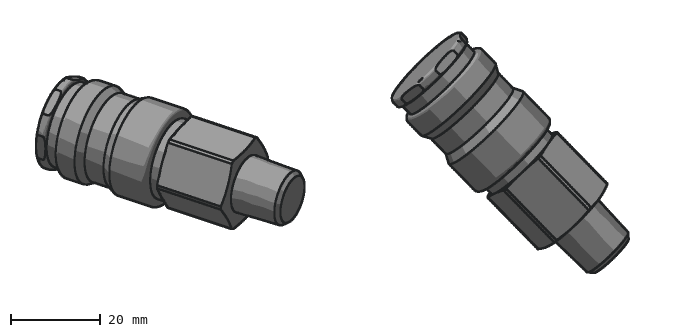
import cadquery as cq
import math


collar_length = 2.5
collar_diameter = 21.95
collar_fillet = 0.7
collar_flats = 21.0
flat_count = 6

front_neck_diameter = 20.0
rear_neck_diameter = 19.0

hex_start_x = 31.0
hex_end_x = 47.9
hex_flats = 19.0
hex_corner_diameter = 21.4
hex_front_bevel = 0.2
hex_rear_bevel = 0.35

spigot_base_diameter = 13.5
spigot_taper = 1 / 16
spigot_chamfer_x = 58.8
spigot_tip_diameter = 11.1
total_length = 59.85

sleeve_start_x = 5.3
sleeve_end_x = 28.7
sleeve_diameter = 23.15
sleeve_fillet = 0.95
groove_diameter = 21.0
groove_outer_start_x = 10.55
groove_floor_start_x = 12.5
groove_floor_end_x = 17.35
groove_outer_end_x = 19.45


def cylinder_along_x(start_x, end_x, diameter):
    return cq.Workplane("YZ", origin=(start_x, 0, 0)).circle(diameter / 2).extrude(end_x - start_x)


def hexagon_along_x(start_x, end_x, across_flats, turn):
    """Hexagonal prism; a turn of 0 points two corners along Y."""
    across_corners = across_flats / math.cos(math.pi / flat_count)
    prism = (
        cq.Workplane("YZ", origin=(start_x, 0, 0))
        .polygon(flat_count, across_corners)
        .extrude(end_x - start_x)
    )
    return prism.rotate((0, 0, 0), (1, 0, 0), turn)


def revolve_around_x(profile):
    """Revolve a closed list of (x, radius) points around the X axis."""
    return cq.Workplane("XY").polyline(profile).close().revolve(360, (0, 0, 0), (1, 0, 0))


def make_collar():
    disc = cylinder_along_x(0, collar_length, collar_diameter).edges().fillet(collar_fillet)
    return disc.intersect(hexagon_along_x(0, collar_length, collar_flats, 180 / flat_count))


def make_wrench_hexagon():
    """Hexagon whose corners are turned round and bevelled at both ends."""
    face_radius = hex_flats / 2
    corner_radius = hex_corner_diameter / 2
    turned_envelope = revolve_around_x([
        (hex_start_x, 0),
        (hex_start_x, face_radius),
        (hex_start_x + hex_front_bevel, corner_radius),
        (hex_end_x - hex_rear_bevel, corner_radius),
        (hex_end_x, face_radius),
        (hex_end_x, 0),
    ])
    return turned_envelope.intersect(hexagon_along_x(hex_start_x, hex_end_x, hex_flats, 0))


def make_spigot():
    chamfer_diameter = spigot_base_diameter - spigot_taper * (spigot_chamfer_x - hex_end_x)
    return revolve_around_x([
        (hex_end_x, 0),
        (hex_end_x, spigot_base_diameter / 2),
        (spigot_chamfer_x, chamfer_diameter / 2),
        (total_length, spigot_tip_diameter / 2),
        (total_length, 0),
    ])


def make_core():
    front_neck = cylinder_along_x(collar_length, sleeve_start_x, front_neck_diameter)
    rear_neck = cylinder_along_x(sleeve_start_x, hex_start_x, rear_neck_diameter)
    return (
        make_collar()
        .union(front_neck)
        .union(rear_neck)
        .union(make_wrench_hexagon())
        .union(make_spigot())
    )


def make_sleeve():
    """Sleeve with a flared grip groove; its bore fits the rear neck and butts the front neck."""
    blank = cylinder_along_x(sleeve_start_x, sleeve_end_x, sleeve_diameter).edges().fillet(sleeve_fillet)
    outer_radius = sleeve_diameter / 2
    groove_radius = groove_diameter / 2
    groove = revolve_around_x([
        (groove_outer_start_x, outer_radius),
        (groove_floor_start_x, groove_radius),
        (groove_floor_end_x, groove_radius),
        (groove_outer_end_x, outer_radius),
    ])
    bore = cylinder_along_x(sleeve_start_x, sleeve_end_x, rear_neck_diameter)
    return blank.cut(groove).cut(bore)


core = make_core()
sleeve = make_sleeve()
result = cq.Compound.makeCompound([core.val(), sleeve.val()])